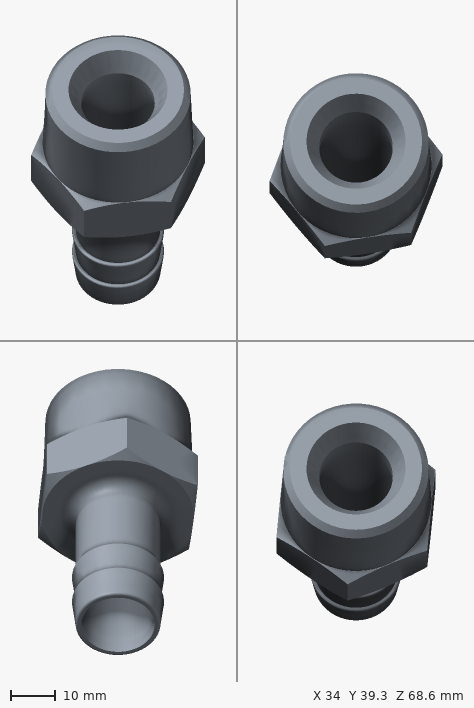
import cadquery as cq
import math

total_length = 68.6
hex_bottom = 36.0
hex_top = 48.9
hex_across_flats = 34.0

plug_base_diameter = 33.9
plug_end_diameter = 32.65
plug_chamfer = 1.5

tail_diameter = 19.0
tail_root_fillet = 3.0
barb_diameter = 20.8
barb_pitch = 8.0
barb_count = 2
barb_edge_fillet = 0.4
tail_end_fillet = 0.6

bore_diameter = 16.5
mouth_diameter = 22.2
mouth_half_angle = 30.0

hex_bevel_angle = 30.0


def make_hexagon():
    """Hexagon with corners on the Y axis and both ends bevelled by a cone."""
    height = hex_top - hex_bottom
    flat_radius = hex_across_flats / 2
    corner_radius = flat_radius / math.cos(math.radians(30))
    bevel_drop = (corner_radius - flat_radius) * math.tan(math.radians(hex_bevel_angle))
    prism = (
        cq.Workplane("XY")
        .polygon(6, 2 * corner_radius)
        .extrude(height)
        .rotate((0, 0, 0), (0, 0, 1), 30)
        .translate((0, 0, hex_bottom))
    )
    bevel_envelope = (
        cq.Workplane("XZ")
        .moveTo(0, hex_bottom)
        .lineTo(flat_radius, hex_bottom)
        .lineTo(corner_radius, hex_bottom + bevel_drop)
        .lineTo(corner_radius, hex_top - bevel_drop)
        .lineTo(flat_radius, hex_top)
        .lineTo(0, hex_top)
        .close()
        .revolve(360, (0, 0, 0), (0, 1, 0))
    )
    return prism.intersect(bevel_envelope)


def make_plug():
    """Tapered plug with a chamfered free end."""
    end_radius = plug_end_diameter / 2
    return (
        cq.Workplane("XZ")
        .moveTo(0, hex_top)
        .lineTo(plug_base_diameter / 2, hex_top)
        .lineTo(end_radius, total_length - plug_chamfer)
        .lineTo(end_radius - plug_chamfer, total_length)
        .lineTo(0, total_length)
        .close()
        .revolve(360, (0, 0, 0), (0, 1, 0))
    )


def make_barb(index):
    """One barb, widening upward to a rounded rim."""
    bottom = index * barb_pitch
    top = bottom + barb_pitch
    return (
        cq.Workplane("XZ")
        .moveTo(0, bottom)
        .lineTo(tail_diameter / 2, bottom)
        .lineTo(barb_diameter / 2, top)
        .lineTo(0, top)
        .close()
        .revolve(360, (0, 0, 0), (0, 1, 0))
        .faces(">Z")
        .edges()
        .fillet(barb_edge_fillet)
    )


def make_tail():
    """Hose tail: barbs with a rounded tip, plain tube and flared root."""
    tail_radius = tail_diameter / 2
    barbs_top = barb_count * barb_pitch
    flare_start = hex_bottom - tail_root_fillet
    flare_centre = tail_radius + tail_root_fillet
    flare_mid_offset = tail_root_fillet * math.sqrt(0.5)
    tail = (
        cq.Workplane("XZ")
        .moveTo(0, barbs_top)
        .lineTo(tail_radius, barbs_top)
        .lineTo(tail_radius, flare_start)
        .threePointArc(
            (flare_centre - flare_mid_offset, flare_start + flare_mid_offset),
            (flare_centre, hex_bottom),
        )
        .lineTo(0, hex_bottom)
        .close()
        .revolve(360, (0, 0, 0), (0, 1, 0))
    )
    for index in range(barb_count):
        tail = tail.union(make_barb(index))
    return tail.faces("<Z").edges().fillet(tail_end_fillet)


def make_bore():
    """Through bore with a conical mouth at the plug end."""
    bore_radius = bore_diameter / 2
    mouth_radius = mouth_diameter / 2
    mouth_depth = (mouth_radius - bore_radius) / math.tan(math.radians(mouth_half_angle))
    return (
        cq.Workplane("XZ")
        .lineTo(bore_radius, 0)
        .lineTo(bore_radius, total_length - mouth_depth)
        .lineTo(mouth_radius, total_length)
        .lineTo(0, total_length)
        .close()
        .revolve(360, (0, 0, 0), (0, 1, 0))
    )


result = make_hexagon().union(make_plug()).union(make_tail()).cut(make_bore())